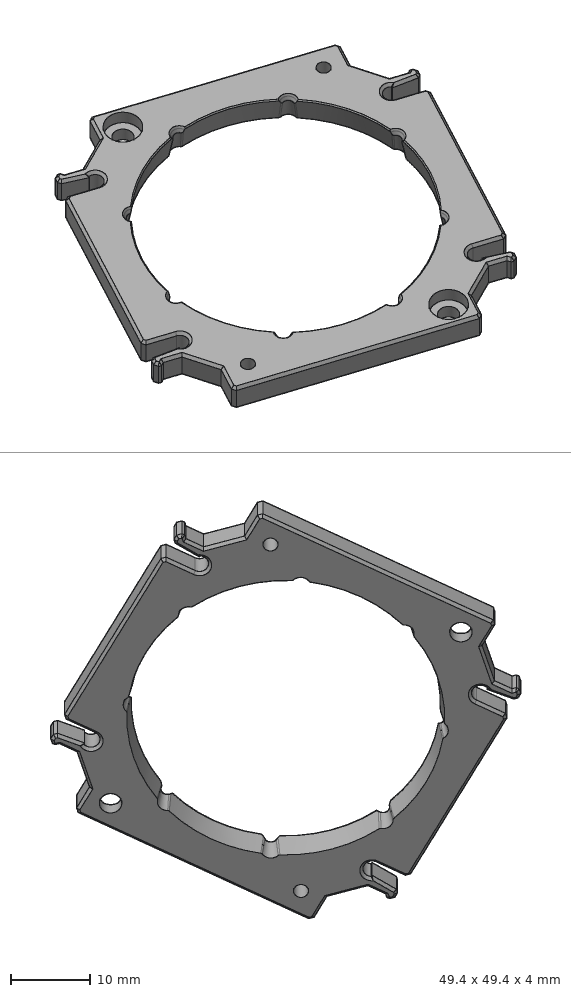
import cadquery as cq
import math

side = 49.4
thickness = 4.0
edge_chamfer = 0.4
corner_chamfer = 0.5
half = side / 2

corner_near = 16.95
corner_far = 20.75

arm_end_y = 24.55
arm_tip_inner_x = 15.7
arm_root_inner_x = 15.35
arm_root_inner_y = 20.5
barb_height = 0.4
barb_length = 1.3
tip_chamfer = 0.4

slot_center_x = 14.5
slot_center_y = 20.05
slot_radius = 1.15

ring_radius = 19.4
ring_chamfer = 0.2
ring_draft = 8.5
notch_count = 8
notch_center_radius = 19.25
notch_wall_radius = 0.7
mouth_fillet = 0.3
notch_flare = [(1.3, 0.0), (1.1, 0.3), (0.85, 0.75), (notch_wall_radius, 1.1)]

hole_x = 21.4
hole_y = 13.6
pin_diameter = 1.9
screw_diameter = 2.8
head_diameter = 5.0
head_depth = 2.0


def quarter_plate():
    """Plate quarter with +X and +Y, with one stepped corner, arm and slot."""
    c = corner_chamfer
    barb_x = corner_near + barb_height
    barb_bottom = arm_end_y - barb_length
    slot_side = slot_center_x - slot_radius
    root_x = slot_center_x + math.sqrt(slot_radius**2 - (arm_root_inner_y - slot_center_y) ** 2)
    return (
        cq.Workplane("XY")
        .moveTo(0, 0)
        .lineTo(half, 0)
        .lineTo(half, corner_near - c)
        .lineTo(half - c, corner_near)
        .lineTo(corner_far, corner_near)
        .lineTo(corner_near, corner_far)
        .lineTo(corner_near, barb_bottom)
        .lineTo(barb_x, barb_bottom + barb_height)
        .lineTo(barb_x, arm_end_y - c)
        .lineTo(barb_x - c, arm_end_y)
        .lineTo(arm_tip_inner_x + tip_chamfer, arm_end_y)
        .lineTo(arm_tip_inner_x, arm_end_y - tip_chamfer)
        .lineTo(arm_root_inner_x, arm_root_inner_y)
        .lineTo(root_x, arm_root_inner_y)
        .threePointArc((slot_center_x, slot_center_y - slot_radius), (slot_side, slot_center_y))
        .lineTo(slot_side, half - c)
        .lineTo(slot_side - c, half)
        .lineTo(0, half)
        .close()
        .extrude(thickness)
    )


def plate():
    """Whole plate, with its upper and lower outer edges chamfered."""
    quarter = quarter_plate()
    upper = quarter.union(quarter.mirror("YZ"))
    whole = upper.union(upper.mirror("XZ")).clean()
    return whole.faces("<Z or >Z").edges().chamfer(edge_chamfer)


def draft_cone(top_radius):
    """Full-height cutter that widens from top_radius at the top face to the underside."""
    bottom_radius = top_radius + thickness * math.tan(math.radians(ring_draft))
    return cq.Workplane(cq.Solid.makeCone(bottom_radius, top_radius, thickness))


def around_ring(cutter):
    """Copies of a cutter that lies at a notch centre on the X axis, one for each notch."""
    step = 360 / notch_count
    copies = cq.Workplane("XY")
    for index in range(notch_count):
        copies = copies.add(cutter.rotate((0, 0, 0), (0, 0, 1), (index + 0.5) * step))
    return copies.combine()


def ring_opening():
    """Round opening with eight notches, whose mouths are rounded and flare at the top."""
    notch = draft_cone(notch_wall_radius).translate((notch_center_radius, 0, 0))
    opening = draft_cone(ring_radius).union(around_ring(notch))
    mouth_edges = opening.faces("%CONE").edges("not(#Z)").edges("not(%CIRCLE or %LINE)")
    opening = mouth_edges.fillet(mouth_fillet)
    rim = cq.Solid.makeCone(ring_radius, ring_radius + ring_chamfer, ring_chamfer)
    opening = opening.union(cq.Workplane(rim.translate(cq.Vector(0, 0, thickness - ring_chamfer))))
    return opening.union(around_ring(notch_flare_cutter()))


def notch_flare_cutter():
    """Stack of three cones, steeper with depth, at a notch centre on the X axis."""
    profile = [(radius, thickness - depth) for radius, depth in notch_flare]
    bottom = profile[-1][1]
    return (
        cq.Workplane("XZ")
        .polyline([(0, thickness)] + profile + [(0, bottom)])
        .close()
        .revolve(360, (0, 0, 0), (0, 1, 0))
        .translate((notch_center_radius, 0, 0))
    )


def corner_holes():
    """Two plain pin holes and two counterbored screw holes on opposite diagonals."""
    pin_points = [(-hole_x, hole_y), (hole_x, -hole_y)]
    screw_points = [(hole_x, hole_y), (-hole_x, -hole_y)]
    pins = cq.Workplane("XY").pushPoints(pin_points).circle(pin_diameter / 2).extrude(thickness)
    screws = cq.Workplane("XY").pushPoints(screw_points).circle(screw_diameter / 2).extrude(thickness)
    heads = (
        cq.Workplane("XY", origin=(0, 0, thickness - head_depth))
        .pushPoints(screw_points)
        .circle(head_diameter / 2)
        .extrude(head_depth)
    )
    return pins.union(screws).union(heads)


result = plate().cut(ring_opening()).cut(corner_holes())